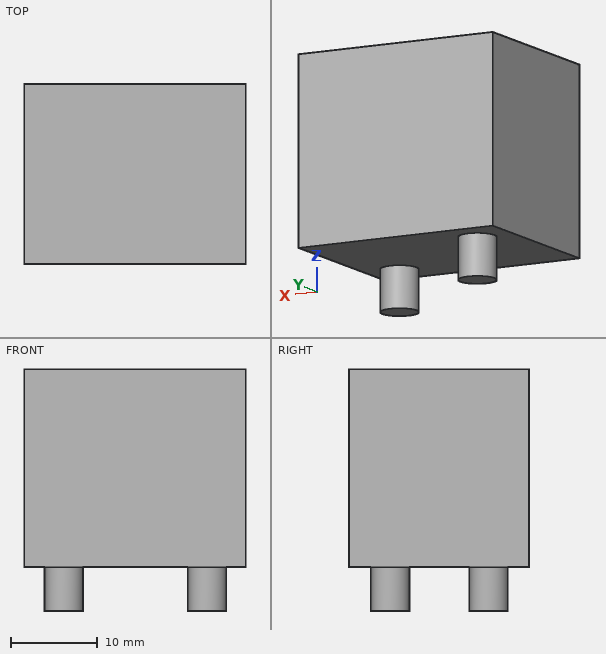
import cadquery as cq

length_x = 25.53
width_y = 20.73
total_height = 27.85
pin_length = 5.05
housing_height = total_height - pin_length

pin_diameter = 4.47
pin_inset_x = 4.56
pin_inset_y = 4.66
pin_spacing_x = 16.5
pin_spacing_y = 11.33
first_pin_x = -length_x / 2 + pin_inset_x
first_pin_y = width_y / 2 - pin_inset_y
pin_centers = [
    (first_pin_x, first_pin_y),
    (first_pin_x + pin_spacing_x, first_pin_y - pin_spacing_y),
]


def make_housing():
    """Plain block standing on the plane Z = 0."""
    return cq.Workplane("XY").rect(length_x, width_y).extrude(housing_height)


def make_pin(center):
    """Round pin hanging from the underside of the housing."""
    return cq.Workplane("XY").center(*center).circle(pin_diameter / 2).extrude(-pin_length)


housing = make_housing()
pins = [make_pin(center) for center in pin_centers]

result = cq.Compound.makeCompound([housing.val(), *[pin.val() for pin in pins]])